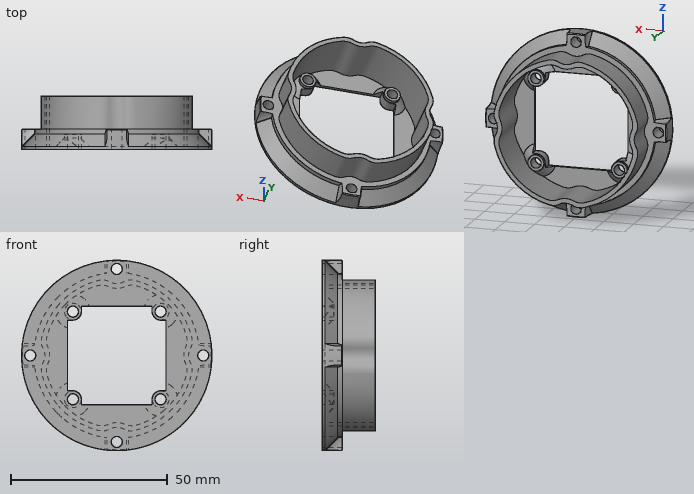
import cadquery as cq
import math

outer_radius = 30.4
height = 17.0
plate_thickness = 1.0
flange_depth = 6.5
groove_depth = 3.95

collar_radius = 24.6
collar_wall = 1.5
scallop_radius = 4.7
collar_shoulder_radius = 4.85
bore_shoulder_radius = 5.5

hole_diameter = 3.45
rim_hole_radius = 27.6
corner_hole_offset = 14.0

window_width = 31.3
pad_width = 4.45
pad_corner_radius = 2.9
boss_radius = 2.7
boss_depth = 4.85
boss_flare = 2.8

key_half_width = 3.05
key_flare_radius = 5.15
key_flare_depth = 2.6
key_chamfer = 0.3

overcut = 0.6
through_length = 4 * height
quarter_turns = (0, 90, 180, 270)


def disc(radius, y_start, y_end):
    axis_start = cq.Vector(0, y_start, 0)
    return cq.Workplane(cq.Solid.makeCylinder(radius, y_end - y_start, axis_start, cq.Vector(0, 1, 0)))


def turned(body, angle):
    return body.rotate((0, 0, 0), (0, 1, 0), angle)


def around_axis(body):
    """Four copies of body, a quarter turn apart about the Y axis."""
    copies = body
    for angle in quarter_turns[1:]:
        copies = copies.union(turned(body, angle))
    return copies


def scalloped_prism(inset, shoulder, y_start, y_end):
    """Collar outline moved inward by inset, extruded along Y."""
    radius = collar_radius - inset
    scallop = scallop_radius + inset

    to_axis = radius - shoulder
    to_hole = scallop + shoulder
    centre_z = (to_axis**2 - to_hole**2 + rim_hole_radius**2) / (2 * rim_hole_radius)
    centre_x = math.sqrt(to_axis**2 - centre_z**2)

    collar_angle = math.atan2(centre_z, centre_x)
    scallop_angle = math.atan2(rim_hole_radius - centre_z, -centre_x)
    middle_angle = (collar_angle + scallop_angle) / 2

    def shoulder_point(angle, side):
        return side * (centre_x + shoulder * math.cos(angle)), centre_z + shoulder * math.sin(angle)

    relief = (
        cq.Workplane(cq.Plane((0, y_start, 0), (-1, 0, 0), (0, 1, 0)))
        .moveTo(*shoulder_point(collar_angle, -1))
        .threePointArc(shoulder_point(middle_angle, -1), shoulder_point(scallop_angle, -1))
        .threePointArc((0, rim_hole_radius - scallop), shoulder_point(scallop_angle, 1))
        .threePointArc(shoulder_point(middle_angle, 1), shoulder_point(collar_angle, 1))
        .threePointArc((0, radius), shoulder_point(collar_angle, -1))
        .close()
        .extrude(y_end - y_start)
    )
    return disc(radius, y_start, y_end).cut(around_axis(relief))


def groove():
    """Ring removed behind the plate rim: 45 degree cone, then a straight floor."""
    floor_radius = outer_radius - groove_depth
    return (
        cq.Workplane("XY")
        .moveTo(outer_radius, plate_thickness)
        .lineTo(floor_radius, plate_thickness + groove_depth)
        .lineTo(floor_radius, flange_depth + overcut)
        .lineTo(outer_radius + overcut, flange_depth + overcut)
        .lineTo(outer_radius + overcut, plate_thickness)
        .close()
        .revolve(360, (0, 0, 0), (0, 1, 0))
    )


def key_blank():
    """Prism parallel to the groove cone at +Z, with sides that flare toward the cone."""
    flare_angle = math.asin(key_flare_depth / key_flare_radius)

    def flare_point(angle, side):
        half_width = key_half_width + key_flare_radius * (1 - math.cos(angle))
        return side * half_width, key_flare_depth - key_flare_radius * math.sin(angle)

    root_half_width, root_height = flare_point(flare_angle, 1)
    across_cone = cq.Plane((0, plate_thickness, outer_radius), (1, 0, 0), (0, -1, 1))
    return (
        cq.Workplane(across_cone)
        .moveTo(-root_half_width, -overcut)
        .lineTo(-root_half_width, root_height)
        .threePointArc(flare_point(flare_angle / 2, -1), flare_point(0, -1))
        .lineTo(-key_half_width, flange_depth)
        .lineTo(key_half_width, flange_depth)
        .lineTo(key_half_width, key_flare_depth)
        .threePointArc(flare_point(flare_angle / 2, 1), (root_half_width, root_height))
        .lineTo(root_half_width, -overcut)
        .close()
        .extrude(outer_radius, both=True)
    )


def flange():
    """Chamfered disc, grooved everywhere except at the four keys."""
    body = disc(outer_radius, 0, flange_depth).faces(">Y").chamfer(key_chamfer)
    return body.cut(groove().cut(around_axis(key_blank())))


def window():
    """Square opening that leaves a pad with one rounded corner in each of its corners."""
    opening = cq.Workplane("XY").box(window_width, through_length, window_width)
    pad_centre = (window_width - pad_width) / 2
    pad = cq.Workplane("XY").box(pad_width, through_length, pad_width)
    pad = pad.edges("|Y and <X and <Z").fillet(pad_corner_radius)
    return opening.cut(around_axis(pad.translate((pad_centre, 0, pad_centre))))


def corner_bosses():
    """Screw bosses behind the plate, each widened by a 45 degree cone at its root."""
    boss = (
        cq.Workplane("XY")
        .lineTo(boss_radius + boss_flare, 0)
        .lineTo(boss_radius + boss_flare, plate_thickness)
        .lineTo(boss_radius, plate_thickness + boss_flare)
        .lineTo(boss_radius, boss_depth)
        .lineTo(0, boss_depth)
        .close()
        .revolve(360, (0, 0, 0), (0, 1, 0))
    )
    return around_axis(boss.translate((corner_hole_offset, 0, corner_hole_offset)))


def screw_holes():
    hole = disc(hole_diameter / 2, -overcut, height)
    rim_hole = hole.translate((0, 0, rim_hole_radius))
    corner_hole = hole.translate((corner_hole_offset, 0, corner_hole_offset))
    return around_axis(rim_hole.union(corner_hole))


collar = scalloped_prism(0, collar_shoulder_radius, plate_thickness, height)
bore = scalloped_prism(collar_wall, bore_shoulder_radius, plate_thickness, height + overcut)

result = flange().union(collar).cut(bore)
result = result.union(corner_bosses()).cut(window()).cut(screw_holes())